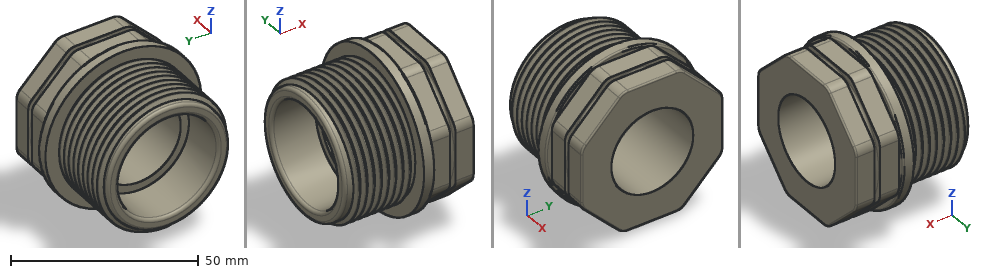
import cadquery as cq
import math

total_length = 39.5
flange_start = 22.0
flange_end = 25.5

flange_radius = 24.87
core_radius = 19.475
bore_radius = 15.85
bore_depth = 14.3
passage_radius = 13.25
flange_edge_radius = 0.5
lip_radius = 1.0

octagon_sides = 8
across_flats = 45.8
octagon_corner_radius = 4.1
octagon_edge_radius = 0.5

groove_center = 32.55
groove_radius = 0.87
groove_floor_radius = 21.5

thread_pitch = 2.309
thread_crest_radius = 20.955
thread_half_angle = math.radians(27.5)
thread_crest_rounding = 0.317
thread_root_overlap = 0.15
thread_start = 2.15
thread_end = flange_start + thread_pitch / 2
runout_radius = 6.0
runout_angle = 60


def disc(start, end, radius):
    """Solid cylinder along the X axis between two X positions."""
    return cq.Workplane("YZ").workplane(offset=start).circle(radius).extrude(end - start)


def make_core():
    core = disc(0, flange_end, core_radius)
    return core.faces("<X").edges().fillet(lip_radius)


def make_flange():
    flange = disc(flange_start, flange_end, flange_radius)
    return flange.faces(">X").edges().fillet(flange_edge_radius)


def make_octagon():
    across_corners = across_flats / math.cos(math.pi / octagon_sides)
    octagon = (
        cq.Workplane("YZ")
        .workplane(offset=flange_end)
        .transformed(rotate=(0, 0, 180 / octagon_sides))
        .polygon(octagon_sides, across_corners)
        .extrude(total_length - flange_end)
    )
    octagon = octagon.edges("|X").fillet(octagon_corner_radius)
    return octagon.faces(">X").edges().fillet(octagon_edge_radius)


def make_groove():
    shoulder_radius = groove_floor_radius + groove_radius
    left = groove_center - groove_radius
    right = groove_center + groove_radius
    return (
        cq.Workplane("XY")
        .moveTo(left, flange_radius)
        .lineTo(left, shoulder_radius)
        .threePointArc((groove_center, groove_floor_radius), (right, shoulder_radius))
        .lineTo(right, flange_radius)
        .close()
        .revolve(360, (0, 0, 0), (1, 0, 0))
    )


def make_thread_section(root_radius):
    """Ridge section in the XZ plane, on the +X side, with a rounded crest."""
    crest_half_width = thread_crest_rounding * math.cos(thread_half_angle)
    flank_top_radius = thread_crest_radius - thread_crest_rounding * (1 - math.sin(thread_half_angle))
    flank_height = flank_top_radius - root_radius
    root_half_width = crest_half_width + flank_height * math.tan(thread_half_angle)
    return (
        cq.Workplane("XZ")
        .moveTo(root_radius, -root_half_width)
        .lineTo(flank_top_radius, -crest_half_width)
        .threePointArc((thread_crest_radius, 0), (flank_top_radius, crest_half_width))
        .lineTo(root_radius, root_half_width)
        .close()
    )


def make_thread():
    """Helical ridge around Z, turned onto the X axis, with a run-out at its free end."""
    root_radius = core_radius - thread_root_overlap
    helix = cq.Wire.makeHelix(thread_pitch, thread_end - thread_start, root_radius)
    ridge = make_thread_section(root_radius).sweep(cq.Workplane(obj=helix), isFrenet=True)
    pivot = thread_crest_radius - runout_radius
    runout = make_thread_section(root_radius).revolve(runout_angle, (pivot, 1, 0), (pivot, 0, 0))
    thread = ridge.union(runout)
    return thread.rotate((0, 0, 0), (0, 1, 0), 90).translate((thread_start, 0, 0))


def cut_bore(body):
    bore = disc(0, bore_depth, bore_radius)
    passage = disc(0, total_length, passage_radius)
    body = body.cut(bore).cut(passage)
    mouth = body.faces("<X").edges(cq.selectors.RadiusNthSelector(0))
    return mouth.fillet(lip_radius)


body = make_core().union(make_flange()).union(make_octagon())
body = cut_bore(body.cut(make_groove()))
result = body.union(make_thread())